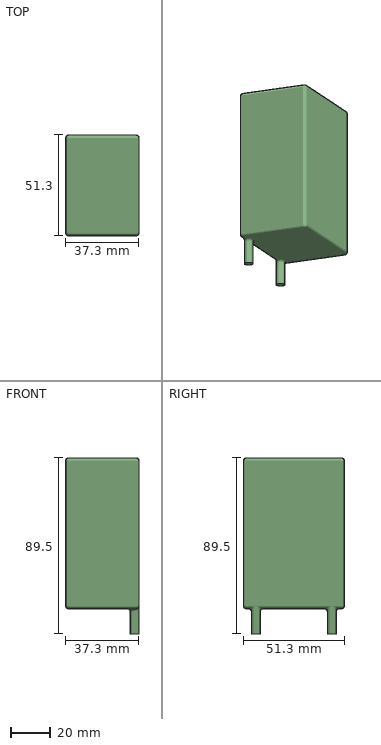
import cadquery as cq

body_width = 37.3
body_depth = 51.3
total_height = 89.5
pin_length = 12.8
body_height = total_height - pin_length

edge_radius = 1.6
root_radius = 1.6
pin_radius = 2.2
pin_spacing = 38.6

flush_setback = 0.045
pin_x = body_width / 2 - pin_radius - flush_setback
pin_places = [(pin_x, side * pin_spacing / 2) for side in (-1, 1)]


def make_body():
    """Block standing on Z = 0 with every edge rounded."""
    block = cq.Workplane("XY").box(
        body_width, body_depth, body_height, centered=(True, True, False)
    )
    return block.edges().fillet(edge_radius)


def make_pins():
    """Round pins that reach into the body past its rounded lower edge."""
    return (
        cq.Workplane("XY")
        .workplane(offset=-pin_length)
        .pushPoints(pin_places)
        .circle(pin_radius)
        .extrude(pin_length + edge_radius)
    )


def fillet_pin_roots(part):
    """Round the joints where the pins meet the underside and its rounded edge."""
    margin = 0.1
    reach = pin_radius + margin
    for x, y in pin_places:
        root_zone = cq.selectors.BoxSelector(
            (x - reach, y - reach, -margin),
            (x + reach, y + reach, edge_radius),
        )
        part = part.edges(root_zone).fillet(root_radius)
    return part


result = fillet_pin_roots(make_body().union(make_pins()))